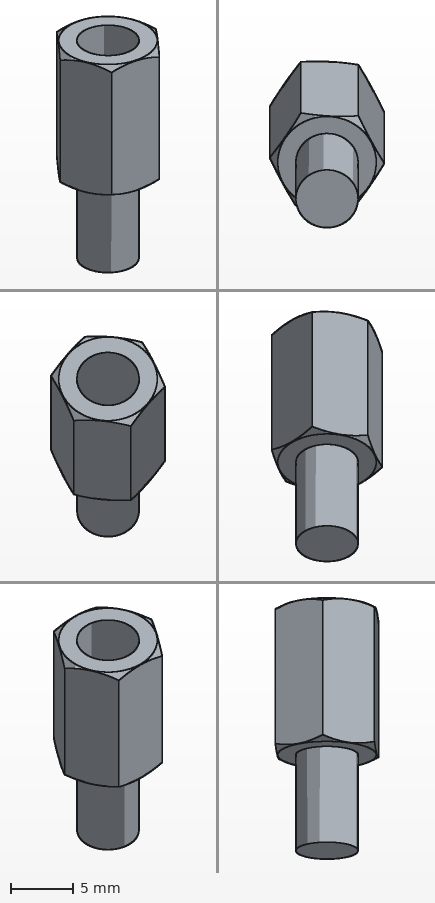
import cadquery as cq
import math

total_length = 20.0
stud_exposed_length = 8.0
stud_insertion = 4.0
stud_diameter = 5.0

across_flats = 8.0
end_face_diameter = 7.92
chamfer_angle = 30.0

sleeve_length = total_length - stud_exposed_length
across_corners = across_flats / math.cos(math.radians(30))
corner_radius = across_corners / 2
end_face_radius = end_face_diameter / 2
chamfer_height = (corner_radius - end_face_radius) * math.tan(math.radians(chamfer_angle))


def make_chamfer_envelope():
    """Round bar with conical ends that trims the corners of the hexagon."""
    return (
        cq.Workplane("XZ")
        .moveTo(0, stud_exposed_length)
        .lineTo(end_face_radius, stud_exposed_length)
        .lineTo(corner_radius, stud_exposed_length + chamfer_height)
        .lineTo(corner_radius, total_length - chamfer_height)
        .lineTo(end_face_radius, total_length)
        .lineTo(0, total_length)
        .close()
        .revolve(360, (0, 0, 0), (0, 1, 0))
    )


def make_sleeve():
    """Hexagonal sleeve with corners on the Y axis, chamfered ends and a through bore."""
    hexagon = (
        cq.Workplane("XY")
        .workplane(offset=stud_exposed_length)
        .transformed(rotate=(0, 0, 90))
        .polygon(6, across_corners)
        .extrude(sleeve_length)
    )
    bore = (
        cq.Workplane("XY")
        .workplane(offset=stud_exposed_length)
        .circle(stud_diameter / 2)
        .extrude(sleeve_length)
    )
    return hexagon.intersect(make_chamfer_envelope()).cut(bore).solids()


def make_stud():
    """Plain round stud seated in the lower part of the bore."""
    return cq.Workplane("XY").circle(stud_diameter / 2).extrude(stud_exposed_length + stud_insertion)


sleeve = make_sleeve()
stud = make_stud()

result = cq.Compound.makeCompound([sleeve.val(), stud.val()])